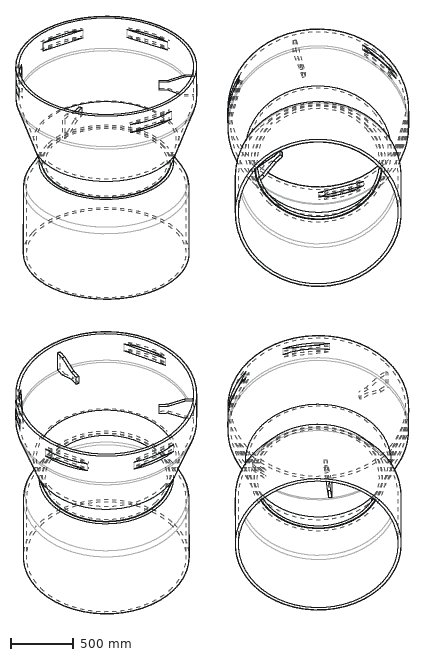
import math

import cadquery as cq

height = 1800.0
wall = 25.0

base_radius = 1330.0 / 2
shoulder_hole_radius = 1020.0 / 2
neck_height = 877.0
shoulder_angle = math.radians(30)
base_bend = 108.0

rim_radius = 1450.0 / 2
throat_radius = 980.0 / 2
ring_top = 1080.0
rim_bend_height = 1498.0
rim_bend = 90.0

recess_height = 75.0
recess_top = 1701.0
recess_angles = (0, 120, 180, 240)
rim_inner_radius = rim_radius - wall
recess_half_width = math.sqrt(rim_radius**2 - rim_inner_radius**2)

rib_thickness = 25.0
rib_angles = (60, -60)
rib_tip_radius = 423.0
rib_tip_flat_end = 495.0
rib_root_flat_start = 630.0
rib_tip_top = 1650.0
rib_tip_depth = 75.0
rib_root_depth = 187.0

funnel_inner_slope = (rim_inner_radius - throat_radius) / (rim_bend_height - neck_height)
funnel_angle = math.atan(funnel_inner_slope)
funnel_wall = wall / math.cos(funnel_angle)


def funnel_inner_radius(z):
    return throat_radius + (z - neck_height) * funnel_inner_slope


joint_inner_z = ring_top + wall * math.sin(funnel_angle)
joint_inner = (funnel_inner_radius(joint_inner_z), joint_inner_z)
joint_outer = (funnel_inner_radius(ring_top) + funnel_wall, ring_top)


def revolve_outline(points):
    """Turn a closed (radius, z) outline about the Z axis."""
    return cq.Workplane("XZ").polyline(points).close().revolve(360, (0, 0), (0, 1))


def round_edge(body, radius, z, bend):
    """Round the circular edge of the given radius at level z."""
    margin = 2.0
    size = 2 * (radius + margin)
    edge_zone = cq.selectors.BoxSelector(
        (-size, -size, z - margin), (size, size, z + margin), boundingbox=False
    )
    circles = body.edges("%CIRCLE").edges(edge_zone).vals()
    edges = [circle for circle in circles if abs(circle.radius() - radius) < margin]
    return body.newObject(edges).fillet(bend)


def make_base():
    slope = math.tan(shoulder_angle)
    inner_radius = base_radius - wall
    top_radius = shoulder_hole_radius + wall / math.cos(shoulder_angle)
    outer_bend_z = neck_height - (base_radius - top_radius) / slope
    inner_bend_z = neck_height - (inner_radius - shoulder_hole_radius) / slope
    body = revolve_outline([
        (inner_radius, 0),
        (base_radius, 0),
        (base_radius, outer_bend_z),
        (top_radius, neck_height),
        (shoulder_hole_radius, neck_height),
        (inner_radius, inner_bend_z),
    ])
    body = round_edge(body, base_radius, outer_bend_z, base_bend)
    return round_edge(body, inner_radius, inner_bend_z, base_bend - wall)


def make_funnel_ring():
    return revolve_outline([
        (throat_radius, neck_height),
        (throat_radius + funnel_wall, neck_height),
        joint_outer,
        joint_inner,
    ])


def recess_block(outer_face):
    """Block reaching from the axis out to a flat face, at recess level."""
    return (
        cq.Workplane("XY")
        .workplane(offset=recess_top - recess_height)
        .center(outer_face / 2, 0)
        .rect(outer_face, 2 * recess_half_width)
        .extrude(recess_height)
    )


def make_rim():
    outer_bend_z = rim_bend_height + (wall - funnel_wall) / funnel_inner_slope
    body = revolve_outline([
        joint_inner,
        joint_outer,
        (rim_radius, outer_bend_z),
        (rim_radius, height),
        (rim_inner_radius, height),
        (rim_inner_radius, rim_bend_height),
    ])
    body = round_edge(body, rim_radius, outer_bend_z, rim_bend)
    body = round_edge(body, rim_inner_radius, rim_bend_height, rim_bend - wall)

    plate = recess_block(rim_inner_radius).cut(recess_block(rim_inner_radius - wall))
    outside = recess_block(rim_radius + wall).cut(recess_block(rim_inner_radius))
    for angle in recess_angles:
        body = body.cut(outside.rotate((0, 0, 0), (0, 0, 1), angle))
        body = body.union(plate.rotate((0, 0, 0), (0, 0, 1), angle))
    return body


def make_rib(angle):
    """Upright plate along a radius, its root trimmed to the rim's bore."""
    rib = (
        cq.Workplane("XZ")
        .polyline([
            (rib_tip_radius, rib_tip_top),
            (rib_tip_flat_end, rib_tip_top),
            (rib_root_flat_start, recess_top),
            (rim_radius, recess_top),
            (rim_radius, recess_top - rib_root_depth),
            (rib_root_flat_start, recess_top - rib_root_depth),
            (rib_tip_flat_end, rib_tip_top - rib_tip_depth),
            (rib_tip_radius, rib_tip_top - rib_tip_depth),
        ])
        .close()
        .extrude(rib_thickness / 2, both=True)
    )
    bore = cq.Workplane("XY").circle(rim_inner_radius).extrude(height)
    return rib.intersect(bore).rotate((0, 0, 0), (0, 0, 1), angle)


base = make_base()
funnel_ring = make_funnel_ring()
rim = make_rim()
ribs = [make_rib(angle) for angle in rib_angles]

result = cq.Compound.makeCompound([
    base.val(),
    funnel_ring.val(),
    rim.val(),
    *[rib.val() for rib in ribs],
])